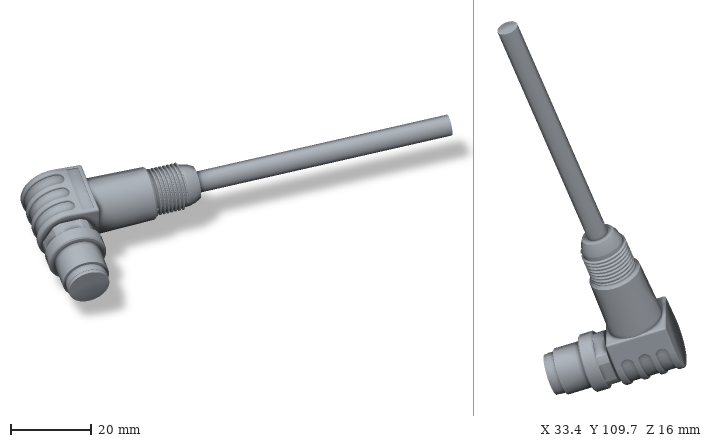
import cadquery as cq
import math


head_width = 16.0
head_radius = head_width / 2
head_back = 8.0
side_taper = 4.5
skin_tolerance = 0.05
head_edge_fillet = 0.5

groove_count = 3
groove_pitch = 4.6
groove_width = 3.1
groove_depth = 0.5
groove_rim_fillet = 0.3
groove_end = 2.4

label_length = 13.9
label_width = 3.1
label_center = 5.3
label_depth = 0.2

sleeve_base_diameter = 14.3
sleeve_tip_diameter = 13.5
sleeve_end = 23.7
sleeve_edge_chamfer = 0.5
neck_diameter = 10.7
neck_end = 32.5
cap_tip_diameter = 8.3
cap_end = 35.6
cap_bulge = 0.2
cable_diameter = 5.4
total_length = 109.7
cable_end = total_length - head_radius

rib_diameter = 12.0
rib_pitch = 1.0
rib_root_width = 0.7
rib_crest_width = 0.2
rib_turns = 8
rib_start = 23.8
rib_root_overlap = 0.2

stem_diameter = 9.3
hex_start = 8.8
hex_end = 11.7
hex_flats = 13.3
hex_corner_diameter = 14.3
hex_turn = 30
ring_end = 15.6
ring_diameter = 15.0
ring_chamfer = 0.3
barrel_end = 22.6
barrel_diameter = 12.1
nose_start = 22.9
nose_step = 24.6
nose_diameter = 10.7
tip_diameter = 10.5
plug_end = 25.4


def head_outline(inset):
    """Tangent flanks and rounded front in the YZ plane, moved inward by inset."""
    lean = math.radians(side_taper)
    radius = head_radius - inset
    tangent_y = radius * math.sin(lean)
    tangent_z = radius * math.cos(lean)
    back_z = tangent_z - (head_back - tangent_y) * math.tan(lean)
    return (
        cq.Workplane("YZ")
        .moveTo(head_back, -back_z)
        .lineTo(head_back, back_z)
        .lineTo(tangent_y, tangent_z)
        .threePointArc((-radius, 0), (tangent_y, -tangent_z))
        .close()
    )


def lies_on_flank_or_front(edge):
    """True when the edge midpoint is on the outer skin of the head."""
    point = edge.positionAt(0.5)
    lean = math.radians(side_taper)
    if point.y < head_radius * math.sin(lean):
        distance = math.hypot(point.y, point.z)
    else:
        distance = point.y * math.sin(lean) + abs(point.z) * math.cos(lean)
    return abs(distance - head_radius) < skin_tolerance


def make_groove_tool():
    """Round-ended groove of even depth below the head surface, centred on X = 0."""
    half = groove_width / 2
    arc_center = groove_end - half
    front = -2 * head_radius
    plan = (
        cq.Workplane("XY")
        .moveTo(-half, front)
        .lineTo(-half, arc_center)
        .threePointArc((0, groove_end), (half, arc_center))
        .lineTo(half, front)
        .close()
        .extrude(2 * head_radius, both=True)
    )
    return plan.cut(head_outline(groove_depth).extrude(head_width, both=True))


def make_head():
    """Rounded block with rounded edges, finger grooves and a label field."""
    head = head_outline(0).extrude(head_width / 2, both=True)
    tool = make_groove_tool()
    for index in range(groove_count):
        offset = (index - (groove_count - 1) / 2) * groove_pitch
        head = head.cut(tool.translate((offset, 0, 0)))
    inner_edges = head.edges("not(<X or >X or >Y)").edges("not |X")
    rims = inner_edges.filter(lies_on_flank_or_front)
    head = rims.fillet(groove_rim_fillet)
    head = head.faces("<X or >X or >Y").edges().fillet(head_edge_fillet)
    field = (
        cq.Workplane("XY")
        .center(0, label_center)
        .rect(label_length, label_width)
        .extrude(head_width)
        .cut(head_outline(label_depth).extrude(head_width, both=True))
    )
    return head.cut(field)


def make_cable():
    """Tapered sleeve, ribbed neck, rounded cap and cable turned about the Y axis."""
    cap_mid = (cap_tip_diameter + neck_diameter) / 4 + cap_bulge
    return (
        cq.Workplane("XY")
        .lineTo(sleeve_base_diameter / 2, 0)
        .lineTo(sleeve_base_diameter / 2, head_back)
        .lineTo(sleeve_tip_diameter / 2, sleeve_end - sleeve_edge_chamfer)
        .lineTo(sleeve_tip_diameter / 2 - sleeve_edge_chamfer, sleeve_end)
        .lineTo(neck_diameter / 2, sleeve_end)
        .lineTo(neck_diameter / 2, neck_end)
        .threePointArc((cap_mid, (neck_end + cap_end) / 2), (cap_tip_diameter / 2, cap_end))
        .lineTo(cable_diameter / 2, cap_end)
        .lineTo(cable_diameter / 2, cable_end)
        .lineTo(0, cable_end)
        .close()
        .revolve(360, (0, 0, 0), (0, 1, 0))
    )


def make_rib():
    """Tapered helical rib, its root sunk slightly into the neck."""
    root_radius = neck_diameter / 2 - rib_root_overlap
    crest_radius = rib_diameter / 2
    path = cq.Wire.makeHelix(rib_pitch, rib_pitch * rib_turns, root_radius)
    rib = (
        cq.Workplane("XZ")
        .moveTo(root_radius, -rib_root_width / 2)
        .lineTo(crest_radius, -rib_crest_width / 2)
        .lineTo(crest_radius, rib_crest_width / 2)
        .lineTo(root_radius, rib_root_width / 2)
        .close()
        .sweep(cq.Workplane(obj=path), isFrenet=True)
    )
    return rib.rotate((0, 0, 0), (1, 0, 0), -90).translate((0, rib_start, 0))


def cylinder(start, end, diameter):
    """Solid cylinder on the X axis between two X positions."""
    return cq.Workplane("YZ", origin=(start, 0, 0)).circle(diameter / 2).extrude(end - start)


def make_plug():
    """Stem, hexagon with turned corners, ring, barrel and grooved nose along X."""
    hexagon = (
        cq.Workplane("YZ", origin=(hex_start, 0, 0))
        .polygon(6, hex_flats, circumscribed=True)
        .extrude(hex_end - hex_start)
        .rotate((0, 0, 0), (1, 0, 0), hex_turn)
        .intersect(cylinder(hex_start, hex_end, hex_corner_diameter))
    )
    ring = cylinder(hex_end, ring_end, ring_diameter).edges().chamfer(ring_chamfer)
    plug = cylinder(0, hex_start, stem_diameter).union(hexagon).union(ring)
    plug = plug.union(cylinder(ring_end, barrel_end, barrel_diameter))
    plug = plug.union(cylinder(nose_start, nose_step, nose_diameter))
    return plug.union(cylinder(barrel_end, plug_end, tip_diameter))


result = make_head().union(make_cable()).union(make_rib()).union(make_plug())